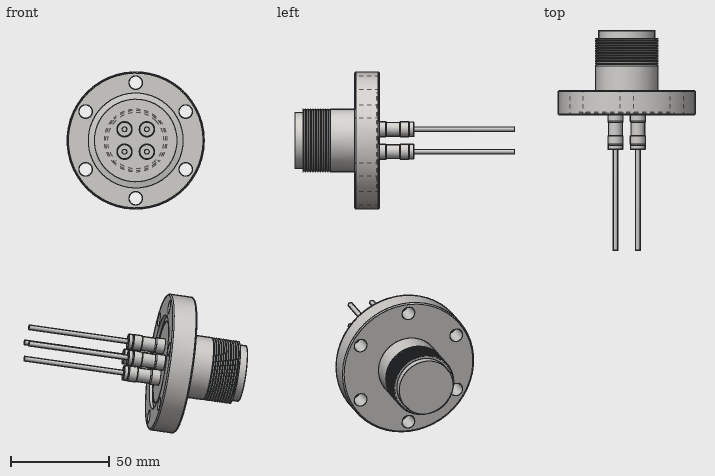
import cadquery as cq
import math

total_length = 111.7

flange_radius = 69.8 / 2
flange_thickness = 12.6
flange_chamfer = 0.7
bolt_count = 6
first_bolt_angle = 90.0
bolt_circle_radius = 29.4
bolt_hole_radius = 3.4
recess_radius = 24.1
recess_depth = 1.6
knife_radius = 21.0
knife_angle = 12.0
centre_depth = 1.3

sleeve_length = 12.4
thread_count = 11
thread_length = 14.0
thread_depth = 0.7
thread_radius = 16.0
nose_length = 4.0
nose_radius = 14.3

feedthrough_offset = 5.7
wire_radius = 1.2
collar_radius = 3.9
insulator_radius = 3.6
cap_radius = 3.8
cap_edge = 0.2
base_collar_end = 3.0
insulator_start = 3.7
insulator_end = 10.3
front_collar_start = 10.6
front_collar_end = 14.7
cap_start = 15.3
cap_end = 17.4

sleeve_end = flange_thickness + sleeve_length
thread_end = sleeve_end + thread_length
nose_end = thread_end + nose_length
wire_tip = nose_end - total_length


def revolve_about_y(points):
    """Turn a closed (radius, y) outline about the Y axis."""
    return cq.Workplane("XY").polyline(points).close().revolve(360, (0, 0, 0), (0, 1, 0))


def make_flange():
    """Chamfered disc with the recessed knife edge and the bolt holes."""
    rim_radius = flange_radius - flange_chamfer
    knife_height = (recess_radius - knife_radius) * math.tan(math.radians(knife_angle))
    knife_tip = recess_depth - knife_height
    flange = revolve_about_y([
        (0, centre_depth),
        (knife_radius, centre_depth),
        (knife_radius, knife_tip),
        (recess_radius, recess_depth),
        (recess_radius, 0),
        (rim_radius, 0),
        (flange_radius, flange_chamfer),
        (flange_radius, flange_thickness - flange_chamfer),
        (rim_radius, flange_thickness),
        (0, flange_thickness),
    ])
    bolt_holes = (
        cq.Workplane("XZ")
        .polarArray(bolt_circle_radius, first_bolt_angle, 360, bolt_count)
        .circle(bolt_hole_radius)
        .extrude(-flange_thickness)
    )
    return flange.cut(bolt_holes)


def make_connector():
    """Plain sleeve, ring-shaped thread grooves and a reduced nose."""
    thread_pitch = thread_length / thread_count
    outline = [(0, flange_thickness), (thread_radius, flange_thickness), (thread_radius, sleeve_end)]
    for turn in range(thread_count):
        groove_start = sleeve_end + turn * thread_pitch
        outline.append((thread_radius - thread_depth, groove_start + thread_pitch / 2))
        outline.append((thread_radius, groove_start + thread_pitch))
    outline += [(nose_radius, thread_end), (nose_radius, nose_end), (0, nose_end)]
    return revolve_about_y(outline)


def make_feedthrough():
    """Stepped insulator with its wire, on the Y axis, standing on the recessed centre face."""
    return revolve_about_y([
        (0, centre_depth),
        (collar_radius, centre_depth),
        (collar_radius, -base_collar_end),
        (insulator_radius, -insulator_start),
        (insulator_radius, -insulator_end),
        (collar_radius, -front_collar_start),
        (collar_radius, -front_collar_end),
        (insulator_radius, -cap_start),
        (cap_radius, -cap_start),
        (cap_radius, -cap_end + cap_edge),
        (cap_radius - cap_edge, -cap_end),
        (wire_radius, -cap_end),
        (wire_radius, wire_tip),
        (0, wire_tip),
    ])


result = make_flange().union(make_connector())
feedthrough = make_feedthrough()
for x in (-feedthrough_offset, feedthrough_offset):
    for z in (-feedthrough_offset, feedthrough_offset):
        result = result.union(feedthrough.translate((x, 0, z)))